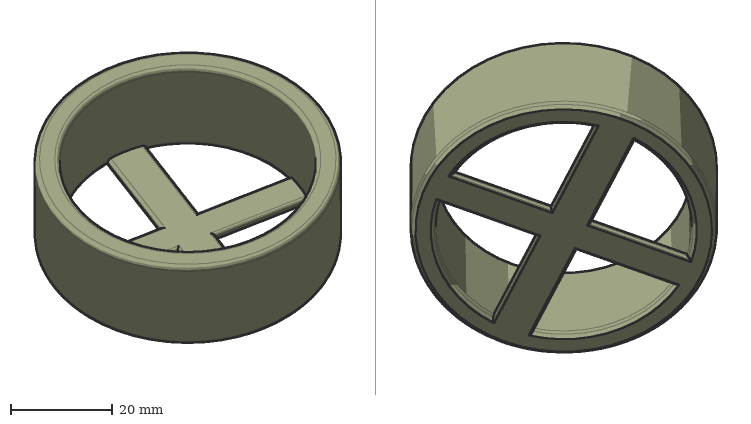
import cadquery as cq

outer_diameter = 60.5
inner_diameter = 50.5
ring_height = 22.0
ring_rounding = 1.0
ring_chamfer = 1.0
ring_blend = 1.0

cross_thickness = 2.0
x_bar_width = 8.5
y_bar_width = 7.0
cross_rounding = 0.7
cross_chamfer = 0.5
cross_blend = 0.7

wall_thickness = (outer_diameter - inner_diameter) / 2
bar_length = inner_diameter + wall_thickness


def edges_at_height(z):
    """Selector for the edges centred at height z."""
    tolerance = 0.05
    reach = outer_diameter
    return cq.selectors.BoxSelector(
        (-reach, -reach, z - tolerance),
        (reach, reach, z + tolerance),
    )


def finish_edges(body, rounding, chamfer, blend):
    """Round the top edges, chamfer the bottom edges and blend the chamfers into the sides."""
    body = body.faces(">Z").edges().fillet(rounding)
    body = body.faces("<Z").edges().chamfer(chamfer)
    return body.edges(edges_at_height(chamfer)).fillet(blend)


def make_ring():
    ring = cq.Workplane("XY").circle(outer_diameter / 2).circle(inner_diameter / 2).extrude(ring_height)
    return finish_edges(ring, ring_rounding, ring_chamfer, ring_blend)


def make_cross():
    x_bar = cq.Workplane("XY").rect(bar_length, x_bar_width).extrude(cross_thickness)
    y_bar = cq.Workplane("XY").rect(y_bar_width, bar_length).extrude(cross_thickness)
    return finish_edges(x_bar.union(y_bar), cross_rounding, cross_chamfer, cross_blend)


result = make_ring().union(make_cross())